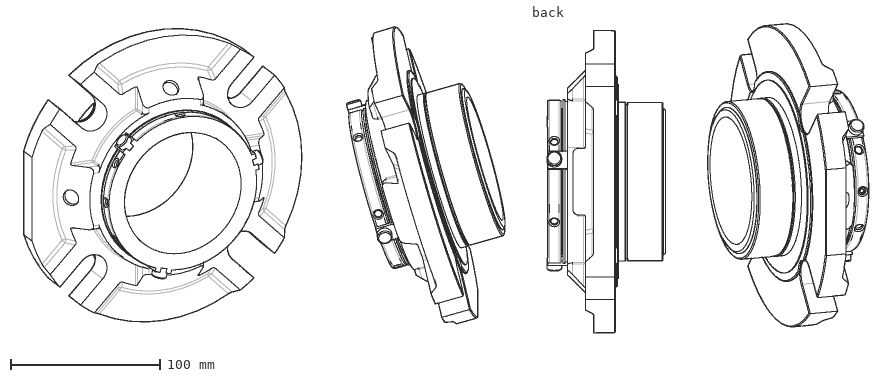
import cadquery as cq
import math


TOLERANCE = 0.05

BORE_R = 85.72 / 2
SLEEVE_R = 88.88 / 2
NOSE_X = -33.63
NOSE_R = 98.4 / 2
NOSE_CHAMFER = 1.4
RING_X = -32.0
RING_R = 106.35 / 2
RING_CHAMFER = 0.8
GROOVE_X = -8.1
GROOVE_R = 103.38 / 2
SHOULDER_X = -7.0
SHOULDER_R = 106.68 / 2
SHOULDER_CHAMFER = 0.6
SEAL_FACE_X = -2.0
SEAL_FACE_R = 130 / 2
RAISED_FACE_X = -1.3
RAISED_FACE_R = 70.8
RAISED_FACE_CHAMFER = 0.7

FLANGE_R = 101.5
FLANGE_THICKNESS = 14.6
FLANGE_CHAMFER = 0.7
FLAT_Y = -97.0
SLOT_WIDTH = 21.4
SLOT_CENTER_R = 77.9
DIAGONALS = (45, 135, 225, 315)
PAD_HEIGHT = 5.5
PAD_BASE_HALF_WIDTH = 28.4
PAD_TAPER_ANGLE = 45

PAD_FACE_X = FLANGE_THICKNESS + PAD_HEIGHT
HUB_END_X = 32.3
HUB_R = 58.9
CONE_BASE_R = 80.3
PORT_HALF_WIDTH = 22.3
PORT_EDGE_FILLET = 3.5
PORT_FOOT_FILLET = 1.2
POCKET_FILLET = 3.5
SHORT_PORT_ANGLE = 0
SHORT_PORT_END_X = 28.5
PORT_ANGLES = (0, 90, 180, 270)
PORT_HOLE_DIA = 11.0
PORT_HOLE_DEPTH = 3.0
PORT_HOLES = ((180, 22.8), (90, 26.1))

GLAND_LIP_END_X = 34.0
GLAND_LIP_R = 107.9 / 2
REAR_RING_END_X = 35.2
REAR_RING_R = 55.0
REAR_STEP_END_X = 35.8
REAR_STEP_R = 49.2
COLLAR_X = 36.5
COLLAR_END_X = 45.5
COLLAR_R = 109.42 / 2
COLLAR_CHAMFER_LENGTH = 1.3
COLLAR_CHAMFER_DROP = 0.4
COLLAR_MID_X = (COLLAR_X + COLLAR_END_X) / 2
SET_SCREW_ANGLES = (30, 90, 150, 210, 270, 330)
PIN_ANGLE = 180
SCREW_HOLE_DIA = 5.0
SCREW_HOLE_DEPTH = 2.5
SCREW_SINK_DIA = 7.0
PIN_DIA = 2.82
PIN_HEIGHT = 1.0

CLIP_ANGLES = (15, 135, 255)
CLIP_HALF_WIDTH = 6.0
CLIP_INNER_R = 53.5
CLIP_OUTER_R = 56.6
CLIP_HEAD_DIA = 10.0
CLIP_HEAD_TOP_R = 61.0
CLIP_HEAD_CHAMFER = 0.8


def revolved(points):
    """Solid of revolution about X from (x, radius) points."""
    return cq.Workplane("XY").polyline(points).close().revolve(360, (0, 0, 0), (1, 0, 0))


def disc(x_start, x_end, radius):
    """Solid disc centred on X."""
    return cq.Workplane("YZ").workplane(offset=x_start).circle(radius).extrude(x_end - x_start)


def turned(shape, angle):
    """Rotate a shape built toward +Y about the part axis."""
    return shape.rotate((0, 0, 0), (1, 0, 0), angle)


def radial_cylinder(x, r_start, r_end, diameter):
    """Cylinder along +Y from r_start to r_end at axial place x."""
    return (
        cq.Workplane("XZ", origin=(x, r_start, 0))
        .circle(diameter / 2)
        .extrude(r_start - r_end)
    )


def make_front_rings():
    nose = disc(NOSE_X, 0, NOSE_R).faces("<X").chamfer(NOSE_CHAMFER)
    ring = disc(RING_X, GROOVE_X, RING_R).faces("<X").chamfer(RING_CHAMFER)
    groove_floor = disc(GROOVE_X, SHOULDER_X, GROOVE_R)
    shoulder = disc(SHOULDER_X, 0, SHOULDER_R).faces("<X").chamfer(SHOULDER_CHAMFER)
    seal_face = disc(SEAL_FACE_X, 0, SEAL_FACE_R)
    raised_face = disc(RAISED_FACE_X, 0, RAISED_FACE_R).faces("<X").chamfer(RAISED_FACE_CHAMFER)
    rings = nose
    for ring_part in (ring, groove_floor, shoulder, seal_face, raised_face):
        rings = rings.union(ring_part)
    return rings


def make_slot():
    """Open bolt slot with a round inner end, along +Y, through flange and front face."""
    start_x = NOSE_X / 2
    length = HUB_END_X - start_x
    reach = FLANGE_R
    profile = cq.Workplane("YZ").workplane(offset=start_x)
    round_end = profile.center(SLOT_CENTER_R, 0).circle(SLOT_WIDTH / 2).extrude(length)
    straight = profile.center(SLOT_CENTER_R + reach / 2, 0).rect(reach, SLOT_WIDTH).extrude(length)
    return round_end.union(straight)


def make_pad():
    """Raised pad around one slot; its sides slope in at 45 degrees."""
    top_half_width = PAD_BASE_HALF_WIDTH - PAD_HEIGHT * math.tan(math.radians(PAD_TAPER_ANGLE))
    return (
        cq.Workplane("XZ", origin=(0, HUB_R, 0))
        .polyline([
            (FLANGE_THICKNESS, -PAD_BASE_HALF_WIDTH),
            (PAD_FACE_X, -top_half_width),
            (PAD_FACE_X, top_half_width),
            (FLANGE_THICKNESS, PAD_BASE_HALF_WIDTH),
        ])
        .close()
        .extrude(-FLANGE_R)
    )


def cone_radius(x):
    """Radius of the 45-degree hub cone at x."""
    return CONE_BASE_R - (x - FLANGE_THICKNESS)


def cone_between(x_start, x_end):
    """Solid slice of the hub cone."""
    return revolved([
        (x_start, 0),
        (x_start, cone_radius(x_start)),
        (x_end, cone_radius(x_end)),
        (x_end, 0),
    ])


def is_pocket_edge(edge):
    """True for the inside edges where flange face, pad sides and cone meet."""
    box = edge.BoundingBox()
    if box.xmax - box.xmin < TOLERANCE:
        on_flange_face = abs(box.xmin - FLANGE_THICKNESS) < TOLERANCE
        on_rim = edge.geomType() == "CIRCLE" and abs(edge.radius() - FLANGE_R) < TOLERANCE
        return on_flange_face and not on_rim
    middle = edge.positionAt(0.5)
    on_cone = abs(math.hypot(middle.y, middle.z) - cone_radius(middle.x)) < TOLERANCE
    return on_cone and box.xmin > TOLERANCE


def make_flange():
    flange = disc(0, FLANGE_THICKNESS, 2 * FLANGE_R)
    for angle in DIAGONALS:
        flange = flange.union(turned(make_pad(), angle))
    flange = flange.intersect(disc(0, PAD_FACE_X, FLANGE_R))
    flange = flange.union(cone_between(FLANGE_THICKNESS / 2, PAD_FACE_X))
    solid = flange.solids().val()
    pocket_edges = [edge for edge in solid.Edges() if is_pocket_edge(edge)]
    flange = cq.Workplane(solid.fillet(POCKET_FILLET, pocket_edges))
    beyond_flat = cq.Workplane("XY").box(4 * PAD_FACE_X, FLANGE_R, 2 * FLANGE_R)
    flange = flange.cut(beyond_flat.translate((0, FLAT_Y - FLANGE_R / 2, 0)))
    for angle in DIAGONALS:
        flange = flange.cut(turned(make_slot(), angle))
    return flange.faces("<X").chamfer(FLANGE_CHAMFER)


def make_notch():
    """Space between two neighbouring ports, outside the hub barrel, with rounded inside corners."""
    size = CONE_BASE_R
    far_side = PORT_HALF_WIDTH + size
    notch = (
        cq.Workplane("XY")
        .box(size, size, size, centered=False)
        .translate((PAD_FACE_X, PORT_HALF_WIDTH, PORT_HALF_WIDTH))
        .cut(disc(0, HUB_END_X + size, HUB_R))
    )
    solid = notch.solids().val()
    inner_edges = []
    for edge in solid.Edges():
        box = edge.BoundingBox()
        is_near = max(box.ymin, box.zmin) < far_side - TOLERANCE
        if is_near and box.xmin < PAD_FACE_X + TOLERANCE:
            inner_edges.append(edge)
    return cq.Workplane(solid.fillet(PORT_FOOT_FILLET, inner_edges))


def make_port_trim(end_x):
    """Material to remove so that a port toward +Y ends at end_x with rounded side edges."""
    start_x = end_x - PORT_EDGE_FILLET
    width = 2 * PORT_HALF_WIDTH
    port = (
        cq.Workplane("XY")
        .box(end_x, CONE_BASE_R, width, centered=(False, False, True))
        .faces(">X")
        .edges("|Y")
        .fillet(PORT_EDGE_FILLET)
    )
    envelope = (
        cq.Workplane("XY")
        .box(HUB_END_X, CONE_BASE_R, width + 4 * PORT_FOOT_FILLET, centered=(False, False, True))
        .translate((start_x, 0, 0))
    )
    return envelope.cut(port).cut(disc(0, 2 * HUB_END_X, HUB_R))


def make_port_hole(x):
    """Blind hole square to the cone, toward +Y."""
    slope = math.cos(math.radians(45))
    center = cq.Vector(x, cone_radius(x), 0)
    outward = cq.Vector(slope, slope, 0)
    start = center - outward * PORT_HOLE_DEPTH
    return cq.Workplane(
        cq.Solid.makeCylinder(PORT_HOLE_DIA / 2, 2 * PORT_HOLE_DEPTH, start, outward)
    )


def make_hub():
    """Barrel with four port blocks that follow the cone."""
    hub = cone_between(FLANGE_THICKNESS, HUB_END_X)
    for angle in PORT_ANGLES:
        hub = hub.cut(turned(make_notch(), angle))
    for angle in PORT_ANGLES:
        end_x = SHORT_PORT_END_X if angle == SHORT_PORT_ANGLE else HUB_END_X
        hub = hub.cut(turned(make_port_trim(end_x), angle))
    return hub


def cut_port_holes(body):
    for angle, x in PORT_HOLES:
        body = body.cut(turned(make_port_hole(x), angle))
    return body


def make_rear_rings():
    lip = disc(HUB_END_X, GLAND_LIP_END_X, GLAND_LIP_R)
    ring = disc(GLAND_LIP_END_X, REAR_RING_END_X, REAR_RING_R)
    return lip.union(ring).union(disc(HUB_END_X, REAR_STEP_END_X, REAR_STEP_R))


def make_screw_hole():
    """Countersunk set screw hole in the collar, toward +Y."""
    outside_r = COLLAR_R + 1
    hole_r = SCREW_HOLE_DIA / 2
    sink_r = SCREW_SINK_DIA / 2
    sink_depth = sink_r - hole_r
    profile = [
        (0, COLLAR_R - SCREW_HOLE_DEPTH),
        (hole_r, COLLAR_R - SCREW_HOLE_DEPTH),
        (hole_r, COLLAR_R - sink_depth),
        (sink_r, COLLAR_R),
        (sink_r, outside_r),
        (0, outside_r),
    ]
    cutter = cq.Workplane("XY").polyline(profile).close().revolve(360, (0, 0, 0), (0, 1, 0))
    return cutter.translate((COLLAR_MID_X, 0, 0))


def make_collar():
    face_r = COLLAR_R - COLLAR_CHAMFER_DROP
    collar = revolved([
        (COLLAR_X, 0),
        (COLLAR_X, face_r),
        (COLLAR_X + COLLAR_CHAMFER_LENGTH, COLLAR_R),
        (COLLAR_END_X - COLLAR_CHAMFER_LENGTH, COLLAR_R),
        (COLLAR_END_X, face_r),
        (COLLAR_END_X, 0),
    ])
    for angle in SET_SCREW_ANGLES + (PIN_ANGLE,):
        collar = collar.cut(turned(make_screw_hole(), angle))
    pin_top_r = COLLAR_R - SCREW_HOLE_DEPTH + PIN_HEIGHT
    pin = radial_cylinder(COLLAR_MID_X, SLEEVE_R, pin_top_r, PIN_DIA)
    return collar.union(turned(pin, PIN_ANGLE))


def make_clip():
    """Clip plate bridging hub and collar, toward +Y, with its screw head."""
    plate = cq.Workplane("XY").box(
        COLLAR_END_X - HUB_END_X,
        CLIP_OUTER_R - CLIP_INNER_R,
        2 * CLIP_HALF_WIDTH,
        centered=(False, False, True),
    ).translate((HUB_END_X, CLIP_INNER_R, 0))
    head = radial_cylinder(COLLAR_MID_X, CLIP_INNER_R, CLIP_HEAD_TOP_R, CLIP_HEAD_DIA)
    return plate.union(head.faces(">Y").chamfer(CLIP_HEAD_CHAMFER))


result = make_front_rings().union(make_hub())
for angle in DIAGONALS:
    result = result.cut(turned(make_slot(), angle))
result = cut_port_holes(result.union(make_flange()))
result = result.union(disc(NOSE_X, COLLAR_END_X, SLEEVE_R)).union(make_rear_rings()).union(make_collar())
for angle in CLIP_ANGLES:
    result = result.union(turned(make_clip(), angle))
result = result.cut(disc(2 * NOSE_X, 2 * COLLAR_END_X, BORE_R))